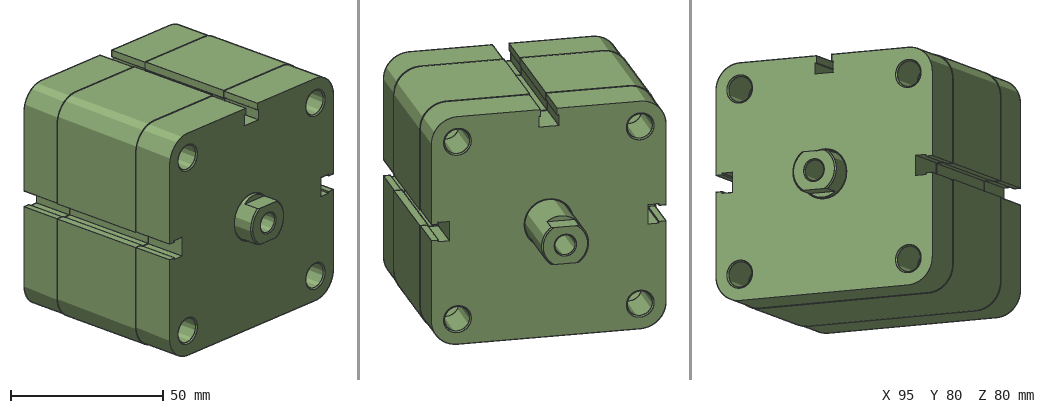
import cadquery as cq
import math

rod_length = 95.0
front_face = 22.4
cap_length = 15.0
barrel_length = 35.15
barrel_start = front_face + cap_length
barrel_end = barrel_start + barrel_length

barrel_side = 80.0
corner_radius = 9.0
cap_inset = 0.24

barrel_neck_width = 5.4
cap_neck_width = 5.6
slot_neck_depth = 2.85
slot_foot_width = 6.3
slot_depth = 6.1
slot_angles = (0, 90, 180)

mount_spacing = barrel_side - 2 * corner_radius
mount_diameter = 8.5
mount_chamfer = 0.5

rod_diameter = 16.0
rod_chamfer = 0.5
rod_seat_chamfer = 0.4
flats_distance = 12.9
flats_length = 6.1
flats_shoulder_run = 0.4
rod_bore_diameter = 6.8
rod_bore_chamfer = 0.4
rod_bore_depth = 19.0
drill_point_angle = 118.0


def yz_plane(x):
    """Plane across the cylinder axis at station x, with local x along Y and local y along Z."""
    return cq.Workplane("YZ", origin=(x, 0, 0))


def slot_cutter(x, length, inset, neck_width):
    """Stepped slot on the +Y side; inset enlarges its foot all round."""
    mouth = barrel_side / 2
    foot_top = mouth - slot_neck_depth + inset
    floor = mouth - slot_depth - inset
    neck = yz_plane(x).center((mouth + floor) / 2, 0).rect(mouth - floor, neck_width)
    foot = yz_plane(x).center((foot_top + floor) / 2, 0).rect(
        foot_top - floor, slot_foot_width + 2 * inset
    )
    return neck.extrude(length).union(foot.extrude(length))


def slotted_block(x, length, inset, neck_width):
    """Rounded square block, set in by inset all round, with slots, mounting holes and a bore for the rod."""
    side = barrel_side - 2 * inset
    block = yz_plane(x).rect(side, side).extrude(length).edges("|X").fillet(corner_radius - inset)
    cutter = slot_cutter(x, length, inset, neck_width)
    for angle in slot_angles:
        block = block.cut(cutter.rotate((0, 0, 0), (1, 0, 0), angle))
    holes = (
        yz_plane(x)
        .rect(mount_spacing, mount_spacing, forConstruction=True)
        .vertices()
        .circle(mount_diameter / 2)
        .extrude(length)
    )
    rod_bore = yz_plane(x).circle(rod_diameter / 2).extrude(length)
    return block.cut(holes).cut(rod_bore)


def make_barrel():
    return slotted_block(barrel_start, barrel_length, 0, barrel_neck_width)


def chamfer_cone(x, diameter, size, direction):
    """Cone that chamfers a hole mouth lying at station x; direction points into the hole along X."""
    return cq.Solid.makeCone(
        diameter / 2 + size, diameter / 2, size, pnt=cq.Vector(x, 0, 0), dir=cq.Vector(direction, 0, 0)
    )


def make_cap(x, outer_x, inward):
    """End cap starting at x, with the hole mouths in its outer face chamfered."""
    cap = slotted_block(x, cap_length, cap_inset, cap_neck_width)
    cap = cap.cut(cq.Workplane(chamfer_cone(outer_x, rod_diameter, rod_seat_chamfer, inward)))
    mount_cone = chamfer_cone(outer_x, mount_diameter, mount_chamfer, inward)
    for y_side in (-1, 1):
        for z_side in (-1, 1):
            corner = cq.Vector(0, y_side * mount_spacing / 2, z_side * mount_spacing / 2)
            cap = cap.cut(cq.Workplane(mount_cone.translate(corner)))
    return cap


def end_flats():
    """Pair of wedges that leave two flats, above and below the axis, at the X = 0 end of the rod."""
    rod_radius = rod_diameter / 2
    flat_height = flats_distance / 2
    upper = (
        cq.Workplane("XZ")
        .polyline([
            (0, flat_height),
            (flats_length, flat_height),
            (flats_length + flats_shoulder_run, rod_radius),
            (0, rod_radius),
        ])
        .close()
        .extrude(rod_radius, both=True)
    )
    return upper.union(upper.mirror("XY"))


def end_bore():
    """Blind drilled bore entering the rod at its X = 0 end, with a chamfered mouth and a conical bottom."""
    radius = rod_bore_diameter / 2
    point_length = radius / math.tan(math.radians(drill_point_angle / 2))
    return (
        cq.Workplane("XY")
        .polyline([
            (0, 0),
            (0, radius + rod_bore_chamfer),
            (rod_bore_chamfer, radius),
            (rod_bore_depth, radius),
            (rod_bore_depth + point_length, 0),
        ])
        .close()
        .revolve(360, (0, 0, 0), (1, 0, 0))
    )


def make_rod():
    """Through rod with the same flats, chamfer and bore at both ends."""
    rod = yz_plane(0).circle(rod_diameter / 2).extrude(rod_length).edges().chamfer(rod_chamfer)
    end_cut = end_flats().union(end_bore())
    far_end_cut = end_cut.mirror("YZ", (rod_length / 2, 0, 0))
    return rod.cut(end_cut).cut(far_end_cut)


barrel = make_barrel()
front_cap = make_cap(front_face, front_face, 1)
rear_cap = make_cap(barrel_end, barrel_end + cap_length, -1)
rod = make_rod()

result = cq.Compound.makeCompound([barrel.val(), front_cap.val(), rear_cap.val(), rod.val()])